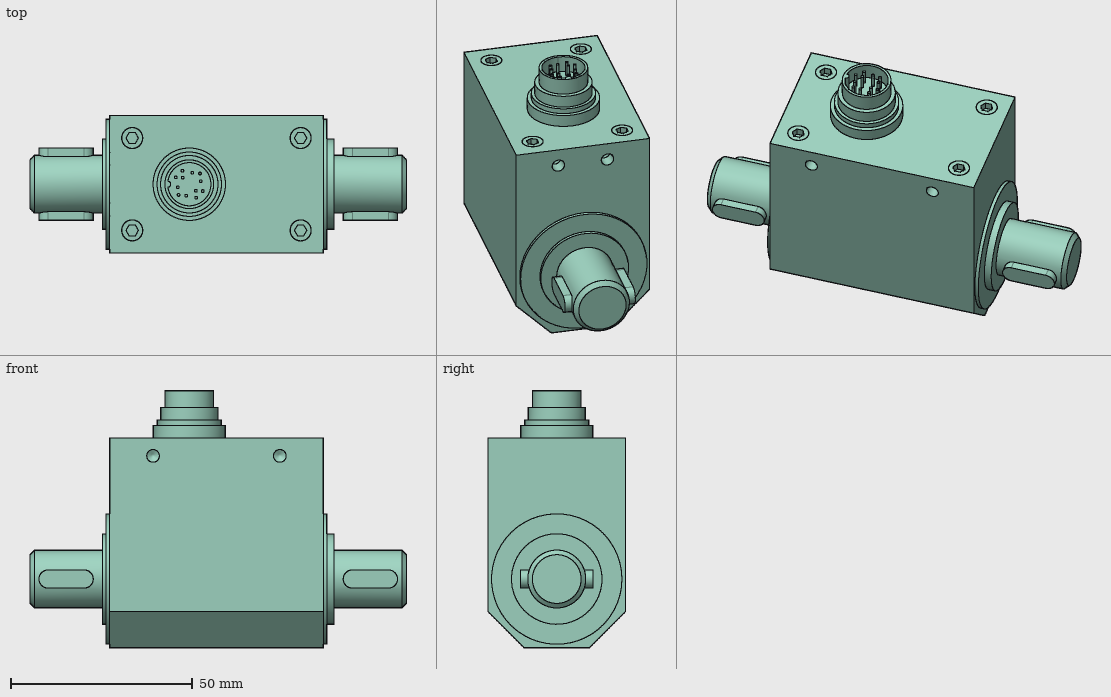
import cadquery as cq
import math


EMBED = 0.5

HOUSING_LENGTH = 59.0
HOUSING_WIDTH = 38.0
HOUSING_HEIGHT = 58.0
HOUSING_CENTER_X = -0.5
HOUSING_CHAMFER = 10.0
HOUSING_BOTTOM_Z = -HOUSING_WIDTH / 2
HOUSING_TOP_Z = HOUSING_BOTTOM_Z + HOUSING_HEIGHT
HOUSING_LEFT_X = HOUSING_CENTER_X - HOUSING_LENGTH / 2
HOUSING_RIGHT_X = HOUSING_CENTER_X + HOUSING_LENGTH / 2

SHAFT_LENGTH = 104.0
SHAFT_DIAMETER = 16.0
SHAFT_CHAMFER = 1.27
FLANGE_DIAMETER = 36.0
FLANGE_STEP = 1.0
COLLAR_DIAMETER = 25.0
COLLAR_LENGTH = 64.0

KEY_LENGTH = 15.0
KEY_WIDTH = 5.0
KEY_SPAN = 20.0
KEY_END_GAP = 2.5

HOLE_DIAMETER = 3.5
HOLE_DEPTH = 4.0
HOLE_TIP_ANGLE = 118.0
HOLE_DROP = 5.0
FRONT_HOLE_SPACING = 35.0
END_HOLE_SPACING = 14.0

SCREW_SPACING_X = 46.5
SCREW_SPACING_Y = 25.5
COUNTERBORE_DIAMETER = 5.84
SCREW_HEAD_DIAMETER = 5.74
SCREW_HEAD_HEIGHT = 3.0
SOCKET_CORNER_DIAMETER = 3.42
SOCKET_DEPTH = 2.0

CONNECTOR_X = -8.0
CONNECTOR_STEPS = [(20.0, 3.45), (17.78, 1.5), (15.88, 3.45)]
CUP_DIAMETER = 13.46
CUP_BORE = 11.94
CUP_HEIGHT = 4.63
RIB_DIAMETER = 1.7
PIN_DIAMETER = 0.76
PIN_LENGTH = 4.0

PIN_CIRCLES = [(4.18, (45, 117, 153)), (3.27, (15, 75)), (2.57, (135,))]


def x_cylinder(diameter, x_start, x_end):
    """Cylinder about the shaft axis."""
    return cq.Workplane("YZ", origin=(x_start, 0, 0)).circle(diameter / 2).extrude(x_end - x_start)


def z_cylinder(diameter, x, y, z, height):
    """Upright cylinder standing at the given point."""
    return cq.Workplane("XY", origin=(x, y, z)).circle(diameter / 2).extrude(height)


def make_housing():
    block = cq.Workplane("XY").box(HOUSING_LENGTH, HOUSING_WIDTH, HOUSING_HEIGHT)
    block = block.faces("<Z").edges("|X").chamfer(HOUSING_CHAMFER)
    return block.translate((HOUSING_CENTER_X, 0, HOUSING_BOTTOM_Z + HOUSING_HEIGHT / 2))


def make_shaft():
    shaft = x_cylinder(SHAFT_DIAMETER, -SHAFT_LENGTH / 2, SHAFT_LENGTH / 2)
    shaft = shaft.faces("<X or >X").edges().chamfer(SHAFT_CHAMFER)
    collar = x_cylinder(COLLAR_DIAMETER, -COLLAR_LENGTH / 2, COLLAR_LENGTH / 2)
    flange = x_cylinder(FLANGE_DIAMETER, HOUSING_LEFT_X - FLANGE_STEP, HOUSING_RIGHT_X + FLANGE_STEP)
    return shaft.union(collar).union(flange)


def make_keys():
    """Round-ended bars through the shaft, each forming two opposite keys."""
    key_x = SHAFT_LENGTH / 2 - KEY_END_GAP - KEY_LENGTH / 2
    bars = cq.Workplane("XZ").pushPoints([(-key_x, 0), (key_x, 0)])
    return bars.slot2D(KEY_LENGTH, KEY_WIDTH).extrude(KEY_SPAN / 2, both=True)


def blind_hole(point, direction):
    """Drill-shaped tool entering the housing at the point along the direction."""
    radius = HOLE_DIAMETER / 2
    tip_height = radius / math.tan(math.radians(HOLE_TIP_ANGLE / 2))
    start = cq.Vector(*point)
    axis = cq.Vector(*direction)
    bore = cq.Solid.makeCylinder(radius, HOLE_DEPTH, start, axis)
    tip = cq.Solid.makeCone(radius, 0, tip_height, start + axis * HOLE_DEPTH, axis)
    return cq.Workplane(obj=bore.fuse(tip))


def cut_side_holes(body):
    hole_z = HOUSING_TOP_Z - HOLE_DROP
    for side in (-1, 1):
        front_x = HOUSING_CENTER_X + side * FRONT_HOLE_SPACING / 2
        body = body.cut(blind_hole((front_x, -HOUSING_WIDTH / 2, hole_z), (0, 1, 0)))
        end_y = side * END_HOLE_SPACING / 2
        body = body.cut(blind_hole((HOUSING_LEFT_X, end_y, hole_z), (1, 0, 0)))
    return body


def cut_screws(body):
    """Clearance ring around each screw head and the hexagon socket in it."""
    top = cq.Workplane("XY", origin=(HOUSING_CENTER_X, 0, HOUSING_TOP_Z))
    places = top.rarray(SCREW_SPACING_X, SCREW_SPACING_Y, 2, 2)
    rings = places.circle(COUNTERBORE_DIAMETER / 2).circle(SCREW_HEAD_DIAMETER / 2)
    rings = rings.extrude(-SCREW_HEAD_HEIGHT)
    sockets = places.polygon(6, SOCKET_CORNER_DIAMETER).extrude(-SOCKET_DEPTH)
    return body.cut(rings).cut(sockets)


def add_connector(body):
    z = HOUSING_TOP_Z
    for diameter, height in CONNECTOR_STEPS:
        body = body.union(z_cylinder(diameter, CONNECTOR_X, 0, z - EMBED, height + EMBED))
        z += height

    cup = z_cylinder(CUP_DIAMETER, CONNECTOR_X, 0, z, CUP_HEIGHT)
    bore = z_cylinder(CUP_BORE, CONNECTOR_X, 0, z, CUP_HEIGHT)
    rib = z_cylinder(RIB_DIAMETER, CONNECTOR_X - CUP_BORE / 2, 0, z, CUP_HEIGHT)
    body = body.union(cup.cut(bore.cut(rib)))

    for radius, half_angles in PIN_CIRCLES:
        for angle in half_angles:
            pin_x = radius * math.cos(math.radians(angle))
            pin_y = radius * math.sin(math.radians(angle))
            for side in (-1, 1):
                pin = z_cylinder(
                    PIN_DIAMETER, CONNECTOR_X + side * pin_x, side * pin_y, z - EMBED, PIN_LENGTH + EMBED
                )
                body = body.union(pin)
    return body


result = make_housing().union(make_shaft()).union(make_keys())
result = cut_side_holes(result)
result = cut_screws(result)
result = add_connector(result)